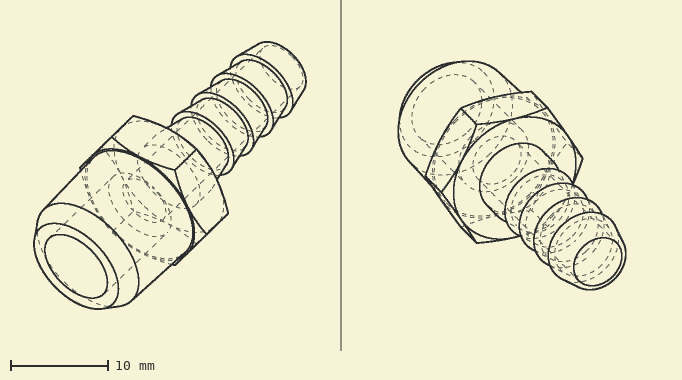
import cadquery as cq
import math


thread_length = 11.0
nose_length = 2.0
hex_length = 5.0
neck_length = 2.5
barb_pitch = 3.4
barb_count = 5

hex_sides = 6
hex_across_flats = 14.0
hex_chamfer_diameter = hex_across_flats
hex_chamfer_angle = 30.0

thread_small_diameter = 13.03
thread_taper = 1 / 16
nose_end_diameter = 10.8

tail_diameter = 8.0
barb_root_diameter = 6.6
tip_fillet = 0.4

bore_diameter = 5.5
socket_diameter = 8.0
socket_depth = thread_length
drill_point_half_angle = 59.0

hex_start = thread_length
hex_end = hex_start + hex_length
neck_end = hex_end + neck_length
total_length = neck_end + barb_pitch * barb_count


def thread_body():
    """Tapered body with a steeper cone leading in at the open end."""
    small_radius = thread_small_diameter / 2
    taper_length = thread_length - nose_length
    large_radius = small_radius + taper_length * thread_taper / 2
    nose_radius = nose_end_diameter / 2
    profile = cq.Workplane("XY").polyline([
        (0, 0),
        (nose_radius, 0),
        (small_radius, nose_length),
        (large_radius, hex_start),
        (0, hex_start),
    ]).close()
    return profile.revolve(360, (0, 0), (0, 1))


def hexagon():
    """Hexagon with corners on the X axis, its corners turned off at both ends."""
    across_corners = hex_across_flats / math.cos(math.pi / hex_sides)
    prism = (
        cq.Workplane("XZ", origin=(0, hex_end, 0))
        .polygon(hex_sides, across_corners)
        .extrude(hex_length)
    )
    end_radius = hex_chamfer_diameter / 2
    corner_radius = across_corners / 2
    chamfer_depth = (corner_radius - end_radius) * math.tan(math.radians(hex_chamfer_angle))
    envelope = cq.Workplane("XY").polyline([
        (0, hex_start),
        (end_radius, hex_start),
        (corner_radius, hex_start + chamfer_depth),
        (corner_radius, hex_end - chamfer_depth),
        (end_radius, hex_end),
        (0, hex_end),
    ]).close().revolve(360, (0, 0), (0, 1))
    return prism.intersect(envelope)


def hose_tail():
    """Plain neck followed by a row of barbs that narrow towards the free end."""
    crest_radius = tail_diameter / 2
    root_radius = barb_root_diameter / 2
    profile = cq.Workplane("XY").moveTo(0, hex_end).lineTo(crest_radius, hex_end)
    for index in range(barb_count):
        barb_start = neck_end + index * barb_pitch
        profile = profile.lineTo(crest_radius, barb_start)
        profile = profile.lineTo(root_radius, barb_start + barb_pitch)
    profile = profile.lineTo(0, total_length).close()
    tail = profile.revolve(360, (0, 0), (0, 1))
    return tail.faces(">Y").edges().fillet(tip_fillet)


def bore():
    """Through hole opened out to a drilled socket at the threaded end."""
    bore_radius = bore_diameter / 2
    socket_radius = socket_diameter / 2
    cone_length = (socket_radius - bore_radius) / math.tan(math.radians(drill_point_half_angle))
    profile = cq.Workplane("XY").polyline([
        (0, 0),
        (socket_radius, 0),
        (socket_radius, socket_depth),
        (bore_radius, socket_depth + cone_length),
        (bore_radius, total_length),
        (0, total_length),
    ]).close()
    return profile.revolve(360, (0, 0), (0, 1))


result = thread_body().union(hexagon()).union(hose_tail()).cut(bore())